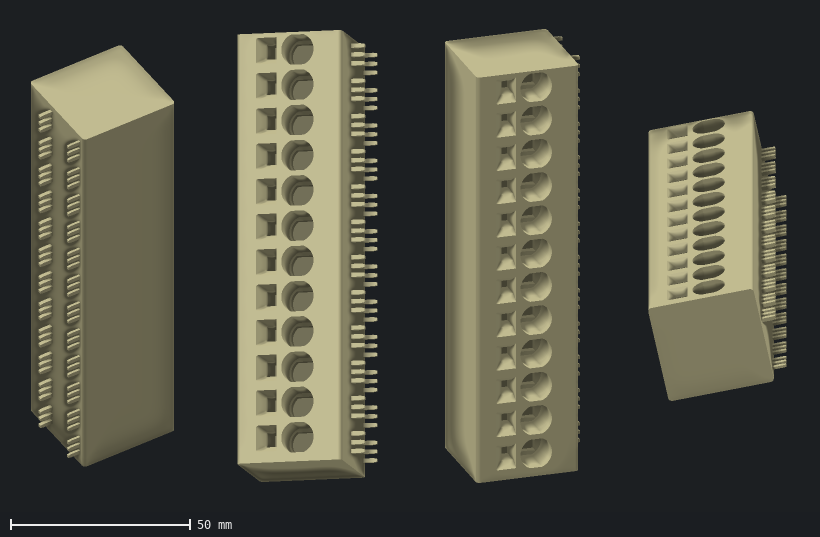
import cadquery as cq
import math

width = 29.0
total_depth = 34.0
length = 121.8
pin_length = 3.9
depth = total_depth - pin_length
corner_radius = 1.1

pole_count = 12
end_plate = 1.8
pitch = (length - end_plate) / pole_count

entry_y = depth - 17.4
bore_radius = 4.6
bore_half_height = 4.3
bore_depth = 9.7
step_depth = 0.9
step_end_radius = 3.0
seat_radius = 4.1
seat_half_height = 3.3
seat_flat_offset = 3.0
seat_depth = 2.4

slot_back_y = depth - 5.6
slot_width = 5.8
slot_height = 7.4
mouth_depth = 2.4
mouth_ramp_angle = 45
mouth_end_angle = 34
throat_depth = 1.8
wedge_depth = 3.4
wedge_angle = 18
slot_edge_radius = 0.7

pin_height = 1.2
pin_tip_length = 1.1
pin_tip_height = 0.9
pin_spacing = pitch / 4
pin_rows = [(11.7, 1.1), (26.7, 0.7)]


def make_housing():
    block = cq.Workplane("XY").box(width, depth, length, centered=False)
    return block.edges("|Z").fillet(corner_radius)


def slope_run(stretch, angle):
    """Sideways travel of a wall that leans by angle degrees over a stretch along X."""
    return stretch * math.tan(math.radians(angle))


def make_wire_entry():
    """Entry centred on the X axis and running from x = 0 along +X."""
    bore = cq.Workplane("YZ").circle(bore_radius).extrude(bore_depth)
    step = cq.Solid.makeCone(
        bore_radius,
        step_end_radius,
        step_depth,
        cq.Vector(bore_depth, 0, 0),
        cq.Vector(1, 0, 0),
    )
    flats = cq.Workplane("YZ").rect(2 * bore_radius, 2 * bore_half_height).extrude(bore_depth + step_depth)
    stepped_bore = bore.union(cq.Workplane(step)).intersect(flats)
    arc_y = math.sqrt(seat_radius**2 - seat_half_height**2)
    seat = (
        cq.Workplane("YZ", origin=(bore_depth, 0, 0))
        .moveTo(-seat_flat_offset, -seat_half_height)
        .lineTo(arc_y, -seat_half_height)
        .threePointArc((seat_radius, 0), (arc_y, seat_half_height))
        .lineTo(-seat_flat_offset, seat_half_height)
        .close()
        .extrude(seat_depth)
    )
    return stepped_bore.union(seat)


def make_release_slot():
    """Slot with its back edge at y = 0, centred on z = 0 and running from x = 0 along +X."""
    throat_x = mouth_depth + throat_depth
    wedge_x = throat_x + wedge_depth
    ramp_y = -slope_run(mouth_depth, mouth_ramp_angle)
    wedge_y = ramp_y - slope_run(wedge_depth, wedge_angle)
    rim_z = slot_height / 2
    throat_z = rim_z - slope_run(mouth_depth, mouth_end_angle)
    side_outline = [
        (0, 0),
        (mouth_depth, ramp_y),
        (throat_x, ramp_y),
        (wedge_x, wedge_y),
        (wedge_x, -slot_width),
        (0, -slot_width),
    ]
    height_outline = [
        (0, rim_z),
        (mouth_depth, throat_z),
        (wedge_x, throat_z),
        (wedge_x, -throat_z),
        (mouth_depth, -throat_z),
        (0, -rim_z),
    ]
    side_prism = cq.Workplane("XY").polyline(side_outline).close().extrude(slot_height / 2, both=True)
    height_prism = cq.Workplane("XZ").polyline(height_outline).close().extrude(slot_width)
    slot = side_prism.intersect(height_prism)
    return slot.edges("not(#X or #Y or #Z)").fillet(slot_edge_radius)


def make_pin(x, thickness, z):
    """Pin pointing along -Y from the y = 0 face, with a tip that narrows in Z."""
    shank_length = pin_length - pin_tip_length
    shank = cq.Workplane("XZ", origin=(x, 0, z)).rect(thickness, pin_height).extrude(shank_length)
    return (
        shank.faces("<Y")
        .workplane()
        .rect(thickness, pin_height)
        .workplane(offset=pin_tip_length)
        .rect(thickness, pin_tip_height)
        .loft(combine=True)
    )


wire_entry = make_wire_entry().val()
release_slot = make_release_slot().val()
openings = []
pins = []
for pole in range(pole_count):
    pole_z = length - (pole + 0.5) * pitch
    openings.append(wire_entry.translate(cq.Vector(0, entry_y, pole_z)))
    openings.append(release_slot.translate(cq.Vector(0, slot_back_y, pole_z)))
    for row_x, thickness in pin_rows:
        for step in (-1, 0, 1):
            pins.append(make_pin(row_x, thickness, pole_z + step * pin_spacing).val())

housing = make_housing().val()
result = cq.Workplane(housing.cut(*openings).fuse(*pins)).solids()